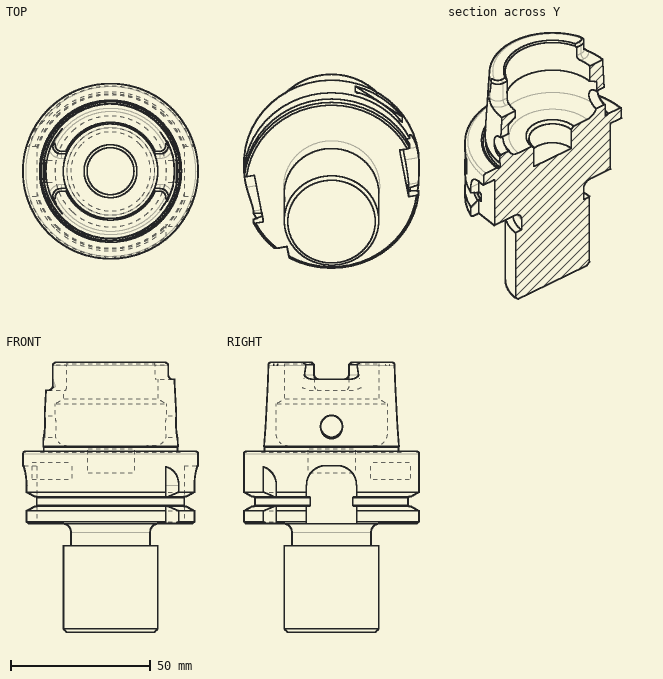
import cadquery as cq
import math


shank_length = 32.0
overall_length = 97.0
flange_height = 26.0
nut_top = -33.9
top_z = shank_length
bottom_z = shank_length - overall_length

shank_top_radius = 22.7
shank_base_radius = 24.25
shank_base_z = 1.8
crown_round = 1.2
relief_neck_radius = 24.1
relief_neck_z = 1.5
relief_depth = 0.4
relief_outer_radius = 24.9
relief_chamfer = 0.6

flange_diameter = 63.0
flange_radius = flange_diameter / 2
flange_round = 1.0
flange_chamfer = 0.8
groove_center_z = -18.0
groove_floor_radius = 27.5
groove_ledge_radius = 28.6
groove_half_width = 1.7
groove_slope = math.radians(30)
groove_corner_round = 0.4

neck_radius = 14.3
neck_fillet = 3.0
nut_radius = 17.0
nut_chamfer = 1.3

bore_radius = 17.0
bore_chamfer = 0.6
bore_depth = 13.2
undercut_radius = 20.0
shoulder_height = 1.7
floor_z = 2.0
floor_fillet = 4.3
pilot_radius = 8.4
pilot_chamfer = 1.1
pilot_depth = 9.7

slot_half_width = 6.2
slot_wall_round = 3.0
slot_outer_x = 20.8
flare_angle = math.radians(25)
slot_floor_round = 1.6
slot_mouth_chamfer = 1.0
left_slot_depth = 10.1
right_slot_depth = 6.1

cross_hole_radius = 3.9
cross_hole_z = 8.9
countersink_x = 23.6

keyway_width = 17.9
keyway_floor_x = 26.5
keyway_top_z = -5.1
keyway_round = 7.0
notch_x = 19.9
notch_y = -19.8
flat_distance = 29.8
flat_top_z = -4.0
flat_height = 6.1
flat_angle = 135

clearance = 9.7
reach = flange_radius + clearance


def box_between(x_range, y_range, z_range):
    """Axis-aligned box given by its lower and upper limit on each axis."""
    limits = (x_range, y_range, z_range)
    lengths = [high - low for low, high in limits]
    corner = tuple(low for low, high in limits)
    return cq.Workplane("XY").box(*lengths, centered=False).translate(corner)


def make_body():
    """Outside of the holder as one turned profile, from the crown down to the nut."""
    slope_drop = (flange_radius - groove_ledge_radius) * math.tan(groove_slope)
    groove_top = groove_center_z + groove_half_width
    groove_bottom = groove_center_z - groove_half_width
    corner = groove_corner_round
    profile = (
        cq.Workplane("XZ")
        .moveTo(0, top_z)
        .lineTo(shank_top_radius - crown_round, top_z)
        .radiusArc((shank_top_radius, top_z - crown_round), crown_round)
        .lineTo(shank_base_radius, shank_base_z)
        .lineTo(relief_neck_radius, relief_neck_z)
        .lineTo(relief_neck_radius, -relief_depth)
        .lineTo(relief_outer_radius, -relief_depth)
        .lineTo(relief_outer_radius + relief_chamfer, 0)
        .lineTo(flange_radius - flange_round, 0)
        .radiusArc((flange_radius, -flange_round), flange_round)
        .lineTo(flange_radius, groove_top + slope_drop)
        .lineTo(groove_ledge_radius, groove_top)
        .lineTo(groove_floor_radius + corner, groove_top)
        .radiusArc((groove_floor_radius, groove_top - corner), -corner)
        .lineTo(groove_floor_radius, groove_bottom + corner)
        .radiusArc((groove_floor_radius + corner, groove_bottom), -corner)
        .lineTo(groove_ledge_radius, groove_bottom)
        .lineTo(flange_radius, groove_bottom - slope_drop)
        .lineTo(flange_radius, flange_chamfer - flange_height)
        .lineTo(flange_radius - flange_chamfer, -flange_height)
        .lineTo(neck_radius + neck_fillet, -flange_height)
        .radiusArc((neck_radius, -flange_height - neck_fillet), -neck_fillet)
        .lineTo(neck_radius, nut_top)
        .lineTo(nut_radius, nut_top)
        .lineTo(nut_radius, bottom_z + nut_chamfer)
        .lineTo(nut_radius - nut_chamfer, bottom_z)
        .lineTo(0, bottom_z)
        .close()
    )
    return profile.revolve(360, (0, 0, 0), (0, 1, 0))


def make_bore():
    """Clamping bore with its undercut, filleted floor and blind pilot hole."""
    bore_end_z = top_z - bore_depth
    profile = (
        cq.Workplane("XZ")
        .moveTo(0, top_z)
        .lineTo(bore_radius + bore_chamfer, top_z)
        .lineTo(bore_radius, top_z - bore_chamfer)
        .lineTo(bore_radius, bore_end_z)
        .lineTo(undercut_radius, bore_end_z - shoulder_height)
        .lineTo(undercut_radius, floor_z + floor_fillet)
        .radiusArc((undercut_radius - floor_fillet, floor_z), floor_fillet)
        .lineTo(pilot_radius + pilot_chamfer, floor_z)
        .lineTo(pilot_radius, floor_z - pilot_chamfer)
        .lineTo(pilot_radius, floor_z - pilot_depth)
        .lineTo(0, floor_z - pilot_depth)
        .close()
    )
    return profile.revolve(360, (0, 0, 0), (0, 1, 0))


def draw_slot_outline(z):
    """Closed outline of a -X drive slot at height z; its walls flare out through convex rounds."""
    round_x = slot_wall_round - slot_outer_x
    round_y = slot_half_width + slot_wall_round
    flare_x = round_x - slot_wall_round * math.cos(flare_angle)
    flare_y = round_y + slot_wall_round * math.sin(flare_angle)
    end_x = flare_x + clearance * math.sin(flare_angle)
    end_y = flare_y + clearance * math.cos(flare_angle)
    return (
        cq.Workplane("XY")
        .workplane(offset=z)
        .moveTo(0, -slot_half_width)
        .lineTo(round_x, -slot_half_width)
        .radiusArc((flare_x, -flare_y), -slot_wall_round)
        .lineTo(end_x, -end_y)
        .lineTo(-reach, -end_y)
        .lineTo(-reach, end_y)
        .lineTo(end_x, end_y)
        .lineTo(flare_x, flare_y)
        .radiusArc((round_x, slot_half_width), -slot_wall_round)
        .lineTo(0, slot_half_width)
        .close()
    )


def make_drive_slot(depth):
    """Drive slot cutter on the -X side, filleted at the floor and chamfered at the mouth."""
    slot = draw_slot_outline(top_z - depth).extrude(depth + clearance)
    slot = slot.faces("<Z").edges().fillet(slot_floor_round)
    mouth = draw_slot_outline(top_z - slot_mouth_chamfer).extrude(slot_mouth_chamfer, taper=-45)
    return slot.union(mouth)


def make_cross_hole():
    """Hole through the shank along X, with a 45 degree countersink at each mouth."""
    sink_depth = shank_base_radius - countersink_x
    profile = (
        cq.Workplane("XY")
        .lineTo(0, cross_hole_radius)
        .lineTo(countersink_x, cross_hole_radius)
        .lineTo(shank_base_radius, cross_hole_radius + sink_depth)
        .lineTo(shank_base_radius, 0)
        .close()
    )
    half = profile.revolve(360, (0, 0, 0), (1, 0, 0))
    return half.union(half.mirror("YZ")).translate((0, 0, cross_hole_z))


def make_keyway():
    """Round-topped keyway cutter on the -X side of the flange, open at the bottom."""
    blank = box_between(
        (-reach, -keyway_floor_x),
        (-keyway_width / 2, keyway_width / 2),
        (-flange_height, keyway_top_z),
    )
    return blank.faces(">Z").edges("|X").fillet(keyway_round)


def make_corner_notch():
    """Notch at the +X -Y corner of the flange, rounded between its ceiling and wall."""
    blank = box_between(
        (notch_x, reach), (-reach, notch_y), (-flange_height, keyway_top_z)
    )
    return blank.faces(">Z").edges(">Y").fillet(keyway_round)


def make_flat():
    """Cutter for the small flat on the flange rim."""
    blank = box_between(
        (flat_distance, reach), (-reach, reach), (flat_top_z - flat_height, flat_top_z)
    )
    return blank.rotate((0, 0, 0), (0, 0, 1), flat_angle)


result = (
    make_body()
    .cut(make_bore())
    .cut(make_drive_slot(left_slot_depth))
    .cut(make_drive_slot(right_slot_depth).mirror("YZ"))
    .cut(make_cross_hole())
    .cut(make_keyway())
    .cut(make_keyway().mirror("YZ"))
    .cut(make_corner_notch())
    .cut(make_flat())
)